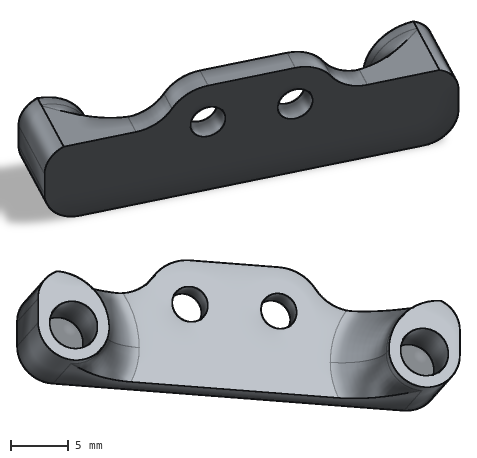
import cadquery as cq
import math

PLATE_THICKNESS = 2.26
LENGTH = 38.0
ARM_HEIGHT = 8.0
CREST_HEIGHT = 11.5
CREST_RADIUS = 4.0
CREST_HALF_FLAT = 4.0
CREST_HOLE_DIAMETER = 3.2

BOSS_HEIGHT = 5.0
BOSS_RADIUS = 3.2
BOSS_HOLE_DIAMETER = 4.3
BOSS_HOLE_DEPTH = BOSS_HEIGHT
FLARE_RADIUS = 4.0
QUARTER_TURN = 90

SHOULDER_HEIGHT = 5.4
SHOULDER_RADIUS = 2.8

CREST_HOLE_Z = CREST_HEIGHT - CREST_RADIUS

HALF_LENGTH = LENGTH / 2
BOSS_Y = HALF_LENGTH - BOSS_RADIUS
BOSS_Z = BOSS_RADIUS
BOSS_INNER_Y = BOSS_Y - BOSS_RADIUS

UPPER_RADIUS = ARM_HEIGHT - BOSS_Z
UPPER_Y = BOSS_INNER_Y + UPPER_RADIUS

SHOULDER_Y = HALF_LENGTH - SHOULDER_RADIUS
SHOULDER_ANGLE = math.asin((ARM_HEIGHT - SHOULDER_HEIGHT) / SHOULDER_RADIUS)


def arc_point(center_y, center_z, radius, angle):
    """Point on a circle in the YZ plane, the angle measured from +Y towards +Z."""
    return (center_y + radius * math.cos(angle), center_z + radius * math.sin(angle))


SHOULDER_TOP = arc_point(SHOULDER_Y, SHOULDER_HEIGHT, SHOULDER_RADIUS, SHOULDER_ANGLE)
SHOULDER_MID = arc_point(SHOULDER_Y, SHOULDER_HEIGHT, SHOULDER_RADIUS, SHOULDER_ANGLE / 2)
END_CORNER_MID = arc_point(BOSS_Y, BOSS_Z, BOSS_RADIUS, -math.pi / 4)


def mirrored(point):
    return (-point[0], point[1])


def make_arm_envelope():
    """Arm outline from the middle to the rounded +Y end, over the full depth of the part."""
    return (
        cq.Workplane("YZ", origin=(-BOSS_HEIGHT, 0, 0))
        .lineTo(BOSS_Y, 0)
        .threePointArc(END_CORNER_MID, (HALF_LENGTH, BOSS_Z))
        .lineTo(HALF_LENGTH, SHOULDER_HEIGHT)
        .threePointArc(SHOULDER_MID, SHOULDER_TOP)
        .lineTo(0, ARM_HEIGHT)
        .close()
        .extrude(BOSS_HEIGHT + PLATE_THICKNESS)
    )


def make_crest():
    """Raised middle of the plate, its S-shaped sides running out into the arm tops."""
    half_drop = (CREST_HEIGHT - ARM_HEIGHT) / 2
    sweep = math.acos(1 - half_drop / CREST_RADIUS)
    half_run = CREST_RADIUS * math.sin(sweep)
    inflection = (CREST_HALF_FLAT + half_run, CREST_HEIGHT - half_drop)
    valley_y = CREST_HALF_FLAT + 2 * half_run
    valley = (valley_y, ARM_HEIGHT)
    convex_mid = arc_point(CREST_HALF_FLAT, CREST_HOLE_Z, CREST_RADIUS, math.pi / 2 - sweep / 2)
    concave_mid = arc_point(valley_y, ARM_HEIGHT + CREST_RADIUS, CREST_RADIUS, -math.pi / 2 - sweep / 2)
    return (
        cq.Workplane("YZ")
        .moveTo(*valley)
        .threePointArc(concave_mid, inflection)
        .threePointArc(convex_mid, (CREST_HALF_FLAT, CREST_HEIGHT))
        .lineTo(-CREST_HALF_FLAT, CREST_HEIGHT)
        .threePointArc(mirrored(convex_mid), mirrored(inflection))
        .threePointArc(mirrored(concave_mid), mirrored(valley))
        .lineTo(-valley_y, 0)
        .lineTo(valley_y, 0)
        .close()
        .extrude(PLATE_THICKNESS)
    )


def make_crest_holes():
    """Two through holes, concentric with the convex corners of the crest."""
    return (
        cq.Workplane("YZ")
        .pushPoints([(-CREST_HALF_FLAT, CREST_HOLE_Z), (CREST_HALF_FLAT, CREST_HOLE_Z)])
        .circle(CREST_HOLE_DIAMETER / 2)
        .extrude(PLATE_THICKNESS)
    )


def make_boss_core():
    """Straight boss at the +Y end with a square upper outer corner."""
    upper_mid = arc_point(UPPER_Y, BOSS_Z, UPPER_RADIUS, 3 * math.pi / 4)
    return (
        cq.Workplane("YZ")
        .moveTo(BOSS_INNER_Y, BOSS_Z)
        .threePointArc((BOSS_Y, 0), (HALF_LENGTH, BOSS_Z))
        .lineTo(HALF_LENGTH, ARM_HEIGHT)
        .lineTo(UPPER_Y, ARM_HEIGHT)
        .threePointArc(upper_mid, (BOSS_INNER_Y, BOSS_Z))
        .close()
        .extrude(-BOSS_HEIGHT)
    )


def make_flare(axis_y, axis_direction):
    """Quarter of a trumpet-shaped flare, turned about an axis along +X (1) or -X (-1)."""
    foot_y = BOSS_INNER_Y - FLARE_RADIUS
    bend = FLARE_RADIUS * math.sqrt(0.5)
    bend_mid = (-FLARE_RADIUS + bend, foot_y + bend)
    return (
        cq.Workplane("XY", origin=(0, 0, BOSS_Z))
        .moveTo(0, axis_y)
        .lineTo(0, foot_y)
        .threePointArc(bend_mid, (-FLARE_RADIUS, BOSS_INNER_Y))
        .lineTo(-FLARE_RADIUS, axis_y)
        .close()
        .revolve(QUARTER_TURN, (0, axis_y), (axis_direction, axis_y))
    )


def make_arm():
    """Plate half with the flared boss at its +Y end, trimmed to the arm outline."""
    slab = (
        cq.Workplane("YZ")
        .rect(2 * LENGTH, 2 * LENGTH)
        .extrude(PLATE_THICKNESS)
    )
    upper_flare = make_flare(UPPER_Y, -1)
    lower_flare = make_flare(BOSS_Y, 1)
    untrimmed = make_boss_core().union(upper_flare).union(lower_flare).union(slab)
    return untrimmed.intersect(make_arm_envelope()).cut(make_boss_hole())


def make_boss_hole():
    """Blind hole at the +Y end, entering from the boss face."""
    return (
        cq.Workplane("YZ", origin=(-BOSS_HEIGHT, BOSS_Y, BOSS_Z))
        .circle(BOSS_HOLE_DIAMETER / 2)
        .extrude(BOSS_HOLE_DEPTH)
    )


arm = make_arm()
result = make_crest().union(arm).union(arm.mirror("XZ")).cut(make_crest_holes())